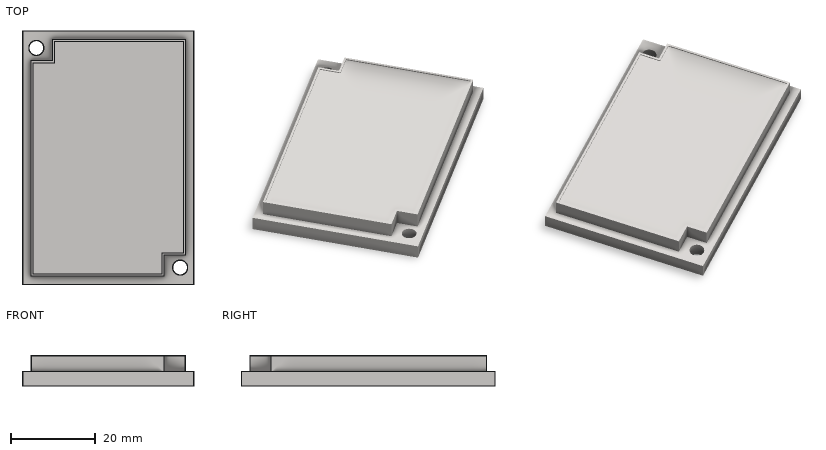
import cadquery as cq

plate_width = 40.5
plate_length = 60.0
plate_height = 3.5

total_height = 7.2
block_margin = 2.0
notch_size = 5.05
rim_width = 0.51
recess_depth = 0.25

hole_diameter = 3.5
hole_edge_x = 3.25
hole_edge_y = 4.0


def notched_outline(inset):
    """Block outline offset inward, with its top-left and bottom-right corners cut away."""
    x = plate_width / 2 - block_margin - inset
    y = plate_length / 2 - block_margin - inset
    return [
        (-x, -y),
        (x - notch_size, -y),
        (x - notch_size, -y + notch_size),
        (x, -y + notch_size),
        (x, y),
        (-x + notch_size, y),
        (-x + notch_size, y - notch_size),
        (-x, y - notch_size),
    ]


plate = cq.Workplane("XY").box(plate_width, plate_length, plate_height, centered=(True, True, False))

block = (
    cq.Workplane("XY", origin=(0, 0, plate_height))
    .polyline(notched_outline(0))
    .close()
    .extrude(total_height - plate_height)
)

recess = (
    cq.Workplane("XY", origin=(0, 0, total_height - recess_depth))
    .polyline(notched_outline(rim_width))
    .close()
    .extrude(recess_depth)
)

hole_x = plate_width / 2 - hole_edge_x
hole_y = plate_length / 2 - hole_edge_y
holes = (
    cq.Workplane("XY")
    .pushPoints([(-hole_x, hole_y), (hole_x, -hole_y)])
    .circle(hole_diameter / 2)
    .extrude(plate_height)
)

result = plate.union(block).cut(recess).cut(holes)